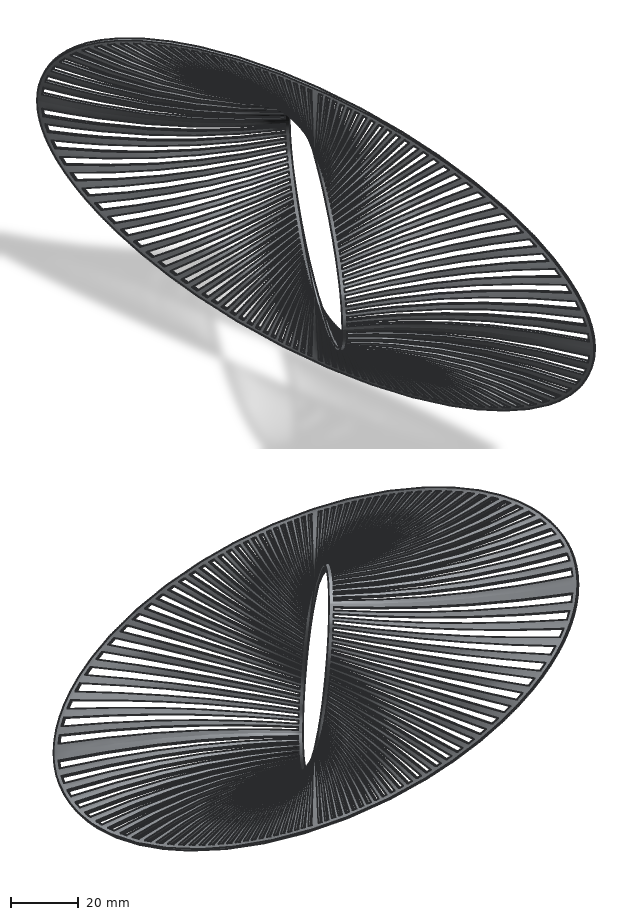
import cadquery as cq
import math

TOTAL_LENGTH = 204.5
TOTAL_HEIGHT = 102.0
INNER_LENGTH = 102.2
INNER_HEIGHT = 51.1
TWIST = math.radians(45)
THICKNESS = 1.0
BORDER_WIDTH = 1.5
SLOTS_PER_QUARTER = 29
OUTER_SLOPE = 0.3
INNER_SLOPE = 0.95

STEPS_ACROSS = 12
STEPS_AROUND = 48
STEPS_ALONG_SLOT = 6
STEPS_OVER_SLOT = 2
OVERRUN = math.radians(1)
FIT_TOLERANCE = 1e-4

EDGE_OVERHANG = THICKNESS / 2 * math.sin(math.atan(OUTER_SLOPE))
OUTER_X = TOTAL_LENGTH / 2 - EDGE_OVERHANG
OUTER_Z = TOTAL_HEIGHT / 2
INNER_X = INNER_LENGTH / 2 * math.cos(TWIST)
INNER_Y = INNER_LENGTH / 2 * math.sin(TWIST)
INNER_Z = INNER_HEIGHT / 2
SPAN_X = OUTER_X - INNER_X
SPAN_Z = OUTER_Z - INNER_Z

START_RISE = OUTER_SLOPE * SPAN_X
END_RISE = INNER_SLOPE * SPAN_X
SQUARE_RISE = 3 * INNER_Y - 2 * START_RISE - END_RISE
CUBE_RISE = START_RISE + END_RISE - 2 * INNER_Y

SLOT_ANGLE = math.pi / 2 / (2 * SLOTS_PER_QUARTER + 1)


def section(s):
    """X, Y and Z reach of the elliptical section at fraction s from outer to inner."""
    rise = START_RISE * s + SQUARE_RISE * s**2 + CUBE_RISE * s**3
    return OUTER_X - SPAN_X * s, rise, OUTER_Z - SPAN_Z * s


def tangents(s, angle):
    """Directions across and around the middle surface."""
    reach_x, reach_y, reach_z = section(s)
    rise_rate = START_RISE + 2 * SQUARE_RISE * s + 3 * CUBE_RISE * s**2
    cos, sin = math.cos(angle), math.sin(angle)
    inward = cq.Vector(SPAN_X * cos, rise_rate * cos, -SPAN_Z * sin)
    around = cq.Vector(reach_x * sin, -reach_y * sin, reach_z * cos)
    return inward, around


def sheet_point(s, angle, offset):
    """Point at a distance from the middle surface, along its normal."""
    reach_x, reach_y, reach_z = section(s)
    cos, sin = math.cos(angle), math.sin(angle)
    middle = cq.Vector(-reach_x * cos, reach_y * cos, reach_z * sin)
    inward, around = tangents(s, angle)
    return middle + inward.cross(around).normalized() * offset


def plate(grid, thickness):
    """Smooth face through a grid of points, thickened to one side."""
    face = cq.Face.makeSplineApprox(grid, tol=FIT_TOLERANCE, minDeg=3, maxDeg=6)
    return face.thicken(thickness)


def angle_on_ray(s, ray):
    """Ellipse angle at which section s meets a ray from the centre, seen along Y."""
    reach_x, _, reach_z = section(s)
    return math.atan2(reach_x * math.sin(ray), reach_z * math.cos(ray))


def border_fraction(s, ray):
    """Fraction of the way across the sheet that the border takes up at section s."""
    inward, around = tangents(s, angle_on_ray(s, ray))
    return BORDER_WIDTH * around.Length / inward.cross(around).Length


def slot_cutter(first_ray):
    """Cutter for one slot, twice as thick as the sheet and with walls along its normals."""
    grid = []
    for i in range(STEPS_ALONG_SLOT + 1):
        row = []
        for j in range(STEPS_OVER_SLOT + 1):
            ray = first_ray + SLOT_ANGLE * j / STEPS_OVER_SLOT
            start = border_fraction(0, ray)
            end = 1 - border_fraction(1, ray)
            s = start + (end - start) * i / STEPS_ALONG_SLOT
            row.append(sheet_point(s, angle_on_ray(s, ray), -THICKNESS))
        grid.append(row)
    return plate(grid, 2 * THICKNESS)


def upper_half():
    """Half of the slotted sheet above Z = 0."""
    sweep = math.pi + 2 * OVERRUN
    grid = []
    for i in range(STEPS_ACROSS + 1):
        row = []
        for j in range(STEPS_AROUND + 1):
            angle = sweep * j / STEPS_AROUND - OVERRUN
            row.append(sheet_point(i / STEPS_ACROSS, angle, -THICKNESS / 2))
        grid.append(row)
    above = cq.Workplane().box(
        2 * TOTAL_LENGTH, 2 * TOTAL_LENGTH, TOTAL_LENGTH, centered=(True, True, False)
    )
    sheet = plate(grid, THICKNESS).intersect(above.val())

    cutters = []
    for i in range(SLOTS_PER_QUARTER):
        cutter = slot_cutter((2 * i + 1) * SLOT_ANGLE)
        cutters.append(cutter)
        cutters.append(cutter.rotate(cq.Vector(0, 0, 0), cq.Vector(0, 0, 1), 180))
    return sheet.cut(*cutters)


half = upper_half()
result = cq.Workplane(half.fuse(half.mirror("XY")))